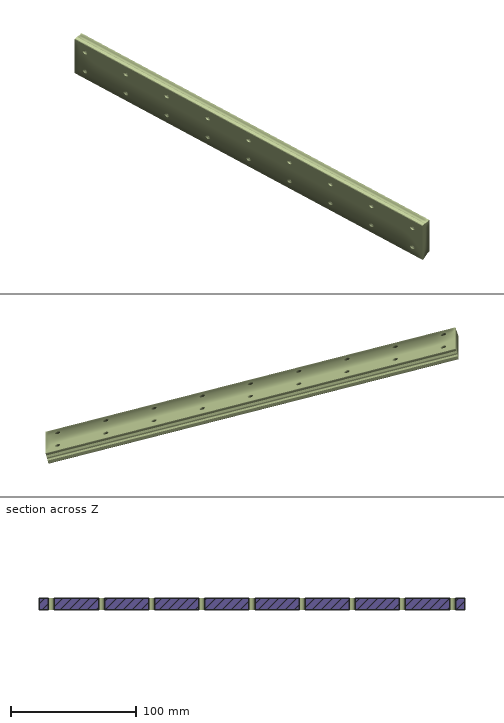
import cadquery as cq

length = 340.0
thickness = 9.5
height = 42.0

edge_chamfer = 0.45
flange_thickness = 3.0
shoulder_depth = 1.1
shoulder_width = 1.22
groove_depth = 1.8
groove_from_back = 2.62
lip_depth = 1.45
lip_width = 1.0

hole_diameter = 4.5
hole_columns = 9
hole_pitch = length / (hole_columns - 0.5)
row_spacing = 23.0

front = -thickness / 2
back = thickness / 2
top = height / 2
shoulder_front = front + flange_thickness + shoulder_depth


def plate():
    """Plate extruded along X, with the same stepped, grooved profile on its top and bottom edges."""
    upper_edge = [
        (front, top - edge_chamfer),
        (front + edge_chamfer, top),
        (front + flange_thickness, top),
        (shoulder_front, top - shoulder_depth),
        (shoulder_front + shoulder_width, top - shoulder_depth),
        (back - groove_from_back, top - groove_depth),
        (back - lip_width, top - lip_depth),
        (back - edge_chamfer, top - lip_depth),
        (back, top - lip_depth - edge_chamfer),
    ]
    lower_edge = [(y, -z) for y, z in reversed(upper_edge)]
    return (
        cq.Workplane("YZ")
        .polyline(upper_edge + lower_edge)
        .close()
        .extrude(length / 2, both=True)
    )


def hole_pins():
    """Pins along Y on the grid of through holes, longer than the plate is thick."""
    return (
        cq.Workplane("XZ")
        .rarray(hole_pitch, row_spacing, hole_columns, 2)
        .circle(hole_diameter / 2)
        .extrude(thickness, both=True)
    )


result = plate().cut(hole_pins())